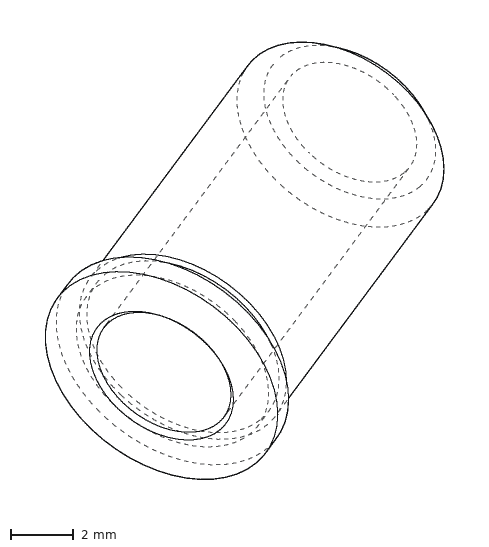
import cadquery as cq

length = 13.46
flange_diameter = 8.26
flange_thickness = 0.78
body_diameter = 7.36
bore_diameter = 4.76

groove_diameter = 6.84
groove_width = 0.75

lead_in_length = 0.66
lead_in_end_diameter = 6.11

bore_bevel = 0.17


def cylinder_along_y(diameter, start, end):
    """Solid cylinder on the Y axis between two Y positions."""
    return cq.Workplane("XZ", origin=(0, start, 0)).circle(diameter / 2).extrude(start - end)


def body_with_lead_in(start):
    """Body of revolution whose far end tapers to the lead-in diameter."""
    body_radius = body_diameter / 2
    profile = (
        cq.Workplane("XY")
        .moveTo(0, start)
        .lineTo(body_radius, start)
        .lineTo(body_radius, length - lead_in_length)
        .lineTo(lead_in_end_diameter / 2, length)
        .lineTo(0, length)
        .close()
    )
    return profile.revolve(360, (0, 0, 0), (0, 1, 0))


groove_end = flange_thickness + groove_width

flange = cylinder_along_y(flange_diameter, 0, flange_thickness)
groove_core = cylinder_along_y(groove_diameter, flange_thickness, groove_end)
body = body_with_lead_in(groove_end)
bore = cylinder_along_y(bore_diameter, 0, length)

bushing = flange.union(groove_core).union(body).cut(bore)

bore_mouth = cq.selectors.RadiusNthSelector(0)
result = bushing.faces("<Y").edges(bore_mouth).chamfer(bore_bevel)